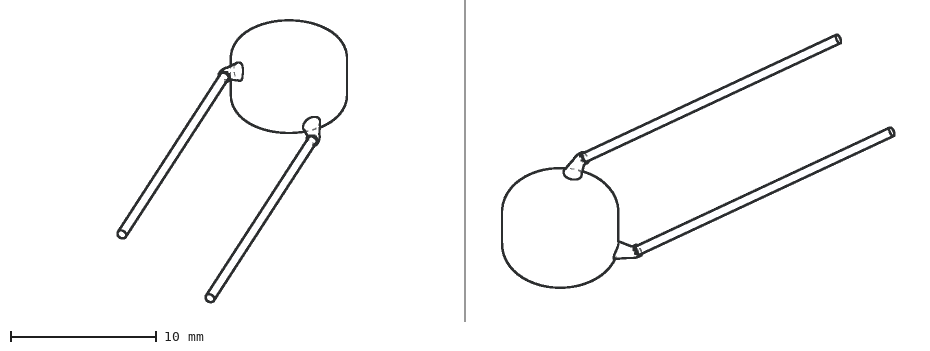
import cadquery as cq
import math

disc_diameter = 8.0
disc_thickness = 5.0
rim_radius = 1.0

overall_length = 29.5
wire_diameter = 0.65
lead_pitch = 6.4
lead_height_offset = 3.84
wire_end_y = disc_diameter / 2 - overall_length

collar_radius = 0.4
collar_end_y = -4.3
sleeve_length = 0.18
elbow_radius = 0.8
sideways_angle = 30.0
downward_angle = 18.0
flare_half_angle = 12.5
cone_length = 1.77

cone_direction = cq.Vector(
    math.tan(math.radians(sideways_angle)),
    1.0,
    -math.tan(math.radians(downward_angle)),
).normalized()
wire_direction = cq.Vector(0, 1, 0)
lead_x = -lead_pitch / 2
lead_z = lead_height_offset / 2
elbow_start = cq.Vector(lead_x, collar_end_y + sleeve_length, lead_z)

lead_turns = (0, 180)


def turned_about_y(shape, angle):
    return shape.rotate(cq.Vector(0, 0, 0), cq.Vector(0, 1, 0), angle)


def make_disc():
    disc = cq.Workplane("XY").cylinder(disc_thickness, disc_diameter / 2)
    return disc.faces("|Z").edges().fillet(rim_radius)


def make_collar():
    """Collar of the upper lead; its cone ends inside the disc."""
    collar_end = cq.Vector(lead_x, collar_end_y, lead_z)
    sleeve = cq.Solid.makeCylinder(collar_radius, sleeve_length, collar_end, wire_direction)

    bend_angle = wire_direction.getAngle(cone_direction)
    inward = (cone_direction - wire_direction * math.cos(bend_angle)).normalized()
    elbow_end = (
        elbow_start
        + wire_direction * (elbow_radius * math.sin(bend_angle))
        + inward * (elbow_radius * (1 - math.cos(bend_angle)))
    )
    elbow_path = cq.Edge.makeTangentArc(elbow_start, wire_direction, elbow_end)
    elbow_section = cq.Wire.makeCircle(collar_radius, elbow_start, wire_direction)
    elbow = cq.Solid.sweep(elbow_section, [], cq.Wire.assembleEdges([elbow_path]))

    cone_end_radius = collar_radius + cone_length * math.tan(math.radians(flare_half_angle))
    cone = cq.Solid.makeCone(collar_radius, cone_end_radius, cone_length, elbow_end, cone_direction)
    return sleeve.fuse(elbow, cone)


def make_wire():
    """Upper lead wire, seated in the sleeve up to the start of the elbow."""
    wire_length = elbow_start.y - wire_end_y
    wire_end = cq.Vector(lead_x, wire_end_y, lead_z)
    return cq.Solid.makeCylinder(wire_diameter / 2, wire_length, wire_end, wire_direction)


wires = [turned_about_y(make_wire(), turn) for turn in lead_turns]

body = make_disc()
for turn in lead_turns:
    body = body.union(cq.Workplane(turned_about_y(make_collar(), turn)))
for wire in wires:
    body = body.cut(cq.Workplane(wire))

result = cq.Compound.makeCompound([body.solids().val(), *wires])